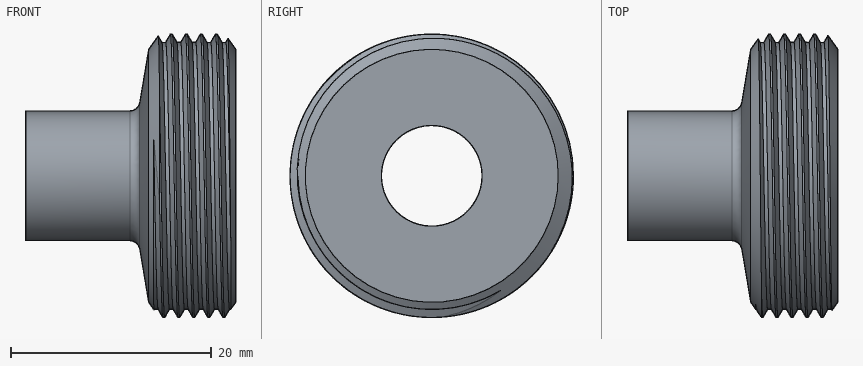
import cadquery as cq
import math

total_length = 21.0
bore_radius = 5.0
tube_radius = 6.49
head_radius = 14.15

head_start = 12.3
chamfer_small_radius = 12.63
chamfer_slope = 1.4
cone_angle = 9.5
neck_fillet = 1.0

pitch = 1.5
crest_flat = pitch / 8
thread_depth = 5 / 8 * pitch * math.cos(math.radians(30))
crest_position = 14.55
cutter_overlap = 0.17

chamfer_length = (head_radius - chamfer_small_radius) / chamfer_slope
cone_depth = (chamfer_small_radius - tube_radius) * math.tan(math.radians(cone_angle))
cone_start = head_start - cone_depth


def make_blank():
    """Turned blank with the bore and the neck fillet, before threading."""
    profile = (
        cq.Workplane("XY")
        .moveTo(0, bore_radius)
        .lineTo(0, tube_radius)
        .lineTo(cone_start, tube_radius)
        .lineTo(head_start, chamfer_small_radius)
        .lineTo(head_start + chamfer_length, head_radius)
        .lineTo(total_length - chamfer_length, head_radius)
        .lineTo(total_length, chamfer_small_radius)
        .lineTo(total_length, bore_radius)
        .close()
    )
    blank = profile.revolve(360, (0, 0, 0), (1, 0, 0))
    neck_edge = cq.selectors.BoxSelector(
        (cone_start - 0.03, -tube_radius - 0.28, -tube_radius - 0.28),
        (cone_start + 0.03, tube_radius + 0.28, tube_radius + 0.28),
        boundingbox=True,
    )
    return blank.edges(neck_edge).fillet(neck_fillet)


def make_thread_cutter():
    """Helical groove that runs out through both chamfers of the head."""
    flank_slope = math.tan(math.radians(30))
    root_radius = head_radius - thread_depth
    outer_radius = head_radius + cutter_overlap
    outer_half_width = (pitch - crest_flat) / 2 + cutter_overlap * flank_slope
    root_half_width = outer_half_width - (outer_radius - root_radius) * flank_slope

    turns_before_crest = math.ceil((crest_position - head_start) / pitch)
    groove_start = crest_position - (turns_before_crest + 0.5) * pitch
    turn_count = math.ceil((total_length - groove_start) / pitch) + 1

    helix = cq.Wire.makeHelix(pitch, turn_count * pitch, root_radius)
    cutter = (
        cq.Workplane("XZ")
        .moveTo(root_radius, -root_half_width)
        .lineTo(outer_radius, -outer_half_width)
        .lineTo(outer_radius, outer_half_width)
        .lineTo(root_radius, root_half_width)
        .close()
        .sweep(cq.Workplane(obj=helix), isFrenet=True)
    )
    return (
        cutter
        .rotate((0, 0, 0), (0, 1, 0), 90)
        .rotate((0, 0, 0), (1, 0, 0), 180)
        .translate((groove_start, 0, 0))
    )


result = make_blank().cut(make_thread_cutter())